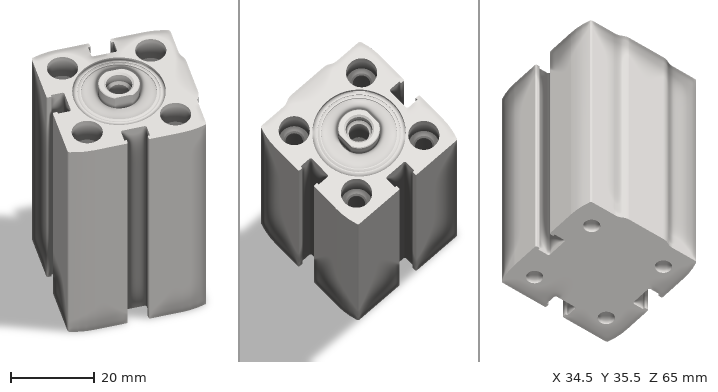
import cadquery as cq
import math


total_height = 65.0
rod_projection = 2.8
housing_height = total_height - rod_projection
overall_width = 34.5
overall_depth = 35.5
half_width = overall_width / 2
half_depth = half_width
side_flat_half = 10.9
side_arc_radius = 18.85
corner_fillet = 0.5

pad_height = overall_depth - overall_width
pad_top_half = 5.25
pad_base_half = 8.8

slot_mouth_width = 5.2
slot_width = 6.4
slot_floor = 12.8
slot_lip = 1.2
slot_floor_fillet = 0.45
slot_mouth_fillet = 0.3

mount_spacing = 22.0
mount_hole_diameter = 4.15
mount_seat_diameter = 4.95
mount_counterbore_diameter = 7.5
mount_counterbore_depth = 6.5

cap_bore_radius = 22.4 / 2
ring_outer_radius = 10.2
ring_inner_radius = 20.0 / 2
lip_outer_radius = 9.35
lip_inner_radius = 9.1
cone_base_radius = 9.8
ring_recess = 0.25
lip_recess = 0.2
disc_recess = 0.5
cone_slope = 30.0
rod_hole_chamfer = 0.2

rod_diameter = 10.0
rod_flat_width = 9.0
rod_length = 58.5
rod_top_chamfer = 0.2
rod_shoulder_depth = 1.05
rod_shoulder_chamfer = (rod_diameter - rod_flat_width) / 2

rod_counterbore_diameter = 6.4
rod_counterbore_depth = 2.6
rod_bore_rim_diameter = 7.3
rod_seat_diameter = 6.0
rod_bore_diameter = 4.95
rod_bore_depth = 11.7
drill_tip_angle = 118.0


def side_x(y):
    """X of the rounded +X side at a distance y from the axis, beyond the side flat."""
    run = y - side_flat_half
    return half_width - side_arc_radius + math.sqrt(side_arc_radius**2 - run**2)


def make_block():
    """Extruded outline with flat sides that curve in towards the four corners."""
    corner_x = side_x(half_depth)
    mid_y = (side_flat_half + half_depth) / 2
    mid_x = side_x(mid_y)
    curved_block = (
        cq.Workplane("XY")
        .moveTo(half_width, -side_flat_half)
        .lineTo(half_width, side_flat_half)
        .threePointArc((mid_x, mid_y), (corner_x, half_depth))
        .lineTo(-corner_x, half_depth)
        .threePointArc((-mid_x, mid_y), (-half_width, side_flat_half))
        .lineTo(-half_width, -side_flat_half)
        .threePointArc((-mid_x, -mid_y), (-corner_x, -half_depth))
        .lineTo(corner_x, -half_depth)
        .threePointArc((mid_x, -mid_y), (half_width, -side_flat_half))
        .close()
        .extrude(housing_height)
    )
    return curved_block.edges("|Z and (<Y or >Y)").fillet(corner_fillet)


def make_pad():
    """Raised pad whose flanks are S-curves of two equal tangent arcs."""
    pad_top = half_depth + pad_height
    mid_x = (pad_top_half + pad_base_half) / 2
    mid_y = half_depth + pad_height / 2
    flank_run = pad_base_half - pad_top_half
    flank_radius = (flank_run**2 + pad_height**2) / (4 * pad_height)
    return (
        cq.Workplane("XY")
        .moveTo(-pad_base_half, half_depth)
        .radiusArc((-mid_x, mid_y), -flank_radius)
        .radiusArc((-pad_top_half, pad_top), flank_radius)
        .lineTo(pad_top_half, pad_top)
        .radiusArc((mid_x, mid_y), flank_radius)
        .radiusArc((pad_base_half, half_depth), -flank_radius)
        .close()
        .extrude(housing_height)
    )


def make_slot():
    """T-slot cutter that opens through the +X face, with a mouth rounded outwards."""
    chamber_half = slot_width / 2
    mouth_half = slot_mouth_width / 2
    lip_x = half_width - slot_lip
    round_x = half_width - slot_mouth_fillet
    flare_half = mouth_half + slot_mouth_fillet
    cutter = (
        cq.Workplane("XY")
        .moveTo(slot_floor, -chamber_half)
        .lineTo(lip_x, -chamber_half)
        .lineTo(lip_x, -mouth_half)
        .lineTo(round_x, -mouth_half)
        .radiusArc((half_width, -flare_half), slot_mouth_fillet)
        .lineTo(half_width, flare_half)
        .radiusArc((round_x, mouth_half), slot_mouth_fillet)
        .lineTo(lip_x, mouth_half)
        .lineTo(lip_x, chamber_half)
        .lineTo(slot_floor, chamber_half)
        .close()
        .extrude(housing_height)
    )
    return cutter.edges("|Z and <X").fillet(slot_floor_fillet)


def make_mounting_hole():
    """Through hole with a counterbore at the top and a chamfered seat in the counterbore floor."""
    hole_radius = mount_hole_diameter / 2
    seat_radius = mount_seat_diameter / 2
    counterbore_radius = mount_counterbore_diameter / 2
    floor_z = housing_height - mount_counterbore_depth
    return (
        cq.Workplane("XZ")
        .lineTo(hole_radius, 0)
        .lineTo(hole_radius, floor_z - (seat_radius - hole_radius))
        .lineTo(seat_radius, floor_z)
        .lineTo(counterbore_radius, floor_z)
        .lineTo(counterbore_radius, housing_height)
        .lineTo(0, housing_height)
        .close()
        .revolve(360, (0, 0), (0, 1))
    )


def make_cap_recess():
    """Recess that leaves a sloping retaining ring around a flat disc with a raised, sloping lip."""
    slope = math.tan(math.radians(cone_slope))
    ring_z = housing_height - ring_recess
    lip_z = housing_height - lip_recess
    disc_z = housing_height - disc_recess
    lip_cone_base_z = lip_z - (cone_base_radius - lip_outer_radius) * slope
    ring_cone_base_z = ring_z - (cap_bore_radius - ring_outer_radius) * slope
    return (
        cq.Workplane("XZ")
        .moveTo(0, disc_z)
        .lineTo(lip_inner_radius, disc_z)
        .lineTo(lip_inner_radius, lip_z)
        .lineTo(lip_outer_radius, lip_z)
        .lineTo(cone_base_radius, lip_cone_base_z)
        .lineTo(ring_inner_radius, lip_cone_base_z)
        .lineTo(ring_inner_radius, ring_z)
        .lineTo(ring_outer_radius, ring_z)
        .lineTo(cap_bore_radius, ring_cone_base_z)
        .lineTo(cap_bore_radius, housing_height)
        .lineTo(0, housing_height)
        .close()
        .revolve(360, (0, 0), (0, 1))
    )


def make_rod_hole():
    """Blind hole in which the piston rod runs, chamfered where it meets the cap disc."""
    disc_z = housing_height - disc_recess
    bottom_z = total_height - rod_length
    rod_radius = rod_diameter / 2
    return (
        cq.Workplane("XZ")
        .moveTo(0, bottom_z)
        .lineTo(rod_radius, bottom_z)
        .lineTo(rod_radius, disc_z - rod_hole_chamfer)
        .lineTo(rod_radius + rod_hole_chamfer, disc_z)
        .lineTo(0, disc_z)
        .close()
        .revolve(360, (0, 0), (0, 1))
    )


def make_housing():
    housing = make_block().union(make_pad())
    for angle in (0, 180, 270):
        housing = housing.cut(make_slot().rotate((0, 0, 0), (0, 0, 1), angle))
    offset = mount_spacing / 2
    for x in (-offset, offset):
        for y in (-offset, offset):
            housing = housing.cut(make_mounting_hole().translate((x, y, 0)))
    return housing.cut(make_cap_recess()).cut(make_rod_hole())


def make_rod_bore():
    """Stepped drilled hole in the rod end, with a chamfered rim and a conical tip."""
    bore_radius = rod_bore_diameter / 2
    seat_radius = rod_seat_diameter / 2
    counterbore_radius = rod_counterbore_diameter / 2
    rim_radius = rod_bore_rim_diameter / 2
    step_z = total_height - rod_counterbore_depth
    bottom_z = total_height - rod_bore_depth
    tip_z = bottom_z - bore_radius / math.tan(math.radians(drill_tip_angle / 2))
    return (
        cq.Workplane("XZ")
        .moveTo(0, tip_z)
        .lineTo(bore_radius, bottom_z)
        .lineTo(bore_radius, step_z - (seat_radius - bore_radius))
        .lineTo(seat_radius, step_z)
        .lineTo(counterbore_radius, step_z)
        .lineTo(counterbore_radius, total_height - (rim_radius - counterbore_radius))
        .lineTo(rim_radius, total_height)
        .lineTo(0, total_height)
        .close()
        .revolve(360, (0, 0), (0, 1))
    )


def make_rod():
    """Piston rod whose end has two flats across X that stop at a chamfered shoulder."""
    shoulder_z = housing_height - disc_recess - rod_shoulder_depth
    rod_bottom = total_height - rod_length
    shank = (
        cq.Workplane("XY", origin=(0, 0, rod_bottom))
        .circle(rod_diameter / 2)
        .extrude(shoulder_z - rod_bottom)
        .faces(">Z")
        .chamfer(rod_shoulder_chamfer)
    )
    tip_bottom = shoulder_z - rod_shoulder_chamfer
    tip_height = total_height - tip_bottom
    tip = (
        cq.Workplane("XY", origin=(0, 0, tip_bottom))
        .circle(rod_diameter / 2)
        .extrude(tip_height)
        .faces(">Z")
        .chamfer(rod_top_chamfer)
    )
    flats = (
        cq.Workplane("XY", origin=(0, 0, tip_bottom))
        .box(rod_flat_width, rod_diameter, tip_height, centered=(True, True, False))
    )
    return shank.union(tip.intersect(flats)).cut(make_rod_bore())


housing = make_housing()
rod = make_rod()

result = cq.Compound.makeCompound([housing.val(), rod.val()])